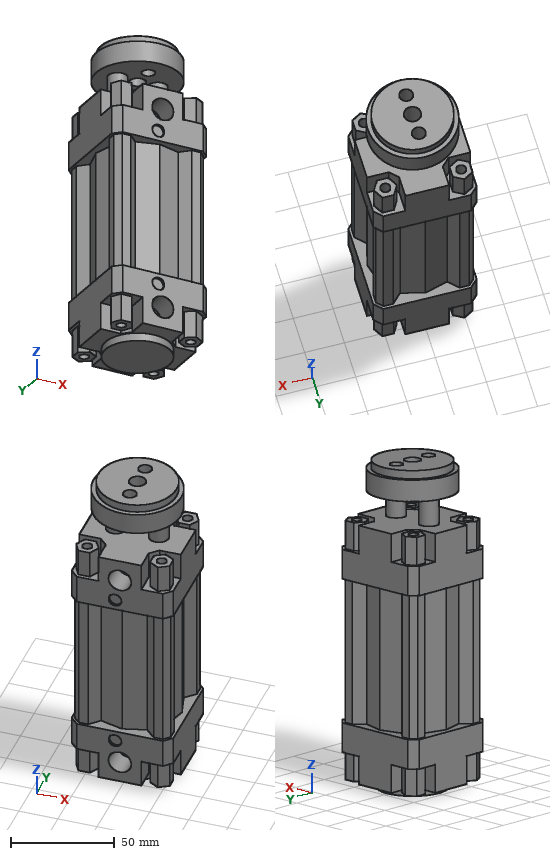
import cadquery as cq
import math

total_height = 164.0
spigot_height = 4.1
cap_height = 28.9
housing_top = 134.0
plate_bottom = 149.0
plate_step = 159.9

cap_width = 52.0
cap_chamfer = 4.0
pocket_depth = 14.1
cross_half_width = 11.0
pocket_chamfer = 4.1
spigot_diameter = 35.0

port_diameter = 11.6
port_depth = 13.1
port_inset = 11.3
dimple_diameter = 6.5
dimple_depth = 1.3
dimple_inset = 23.5
dimple_offset = -2.5

nut_flats = 10.0
nut_spacing = 38.0
nut_hole_diameter = 5.0
nut_hole_depth = 8.2
drill_point_angle = 118.0

barrel_width = 49.0
barrel_chamfer = 3.0
groove_outer = 16.7
groove_inner = 11.8
ridge_reach = 22.8

plate_diameter = 45.0
plate_face_diameter = 40.0
plate_bore_diameter = 8.4
plate_pin_hole_diameter = 6.7
plate_pin_hole_spacing = 22.3
rod_diameter = 10.0
rod_spacing = 22.0

housing_middle = (spigot_height + housing_top) / 2
nut_offset = nut_spacing / 2
nut_corners = nut_flats / math.cos(math.radians(30))
drill_point_height = nut_hole_diameter / 2 / math.tan(math.radians(drill_point_angle / 2))


def barrel_outline():
    """Points of the barrel section: one side, turned to all four."""
    half = barrel_width / 2
    flat_end = half - barrel_chamfer
    groove_floor = half - (groove_outer - groove_inner)
    side = [
        (-flat_end, -half),
        (-groove_outer, -half),
        (-groove_inner, -groove_floor),
        (0, -ridge_reach),
        (groove_inner, -groove_floor),
        (groove_outer, -half),
        (flat_end, -half),
    ]
    points = []
    for _ in range(4):
        points += side
        side = [(-y, x) for x, y in side]
    return points


def make_barrel():
    """Grooved extrusion between the two caps."""
    length = housing_top - spigot_height - 2 * cap_height
    start = spigot_height + cap_height
    return cq.Workplane("XY").workplane(offset=start).polyline(barrel_outline()).close().extrude(length)


def make_nut():
    """Hexagonal nut with a drilled blind hole, its corners along X and its top at the housing top."""
    nut = (
        cq.Workplane("XY").workplane(offset=housing_top - pocket_depth)
        .polygon(6, nut_corners).extrude(pocket_depth)
    )
    radius = nut_hole_diameter / 2
    drill = (
        cq.Workplane("XZ")
        .moveTo(0, housing_top)
        .lineTo(radius, housing_top)
        .lineTo(radius, housing_top - nut_hole_depth)
        .lineTo(0, housing_top - nut_hole_depth - drill_point_height)
        .close()
        .revolve(360, (0, 0, 0), (0, 1, 0))
    )
    return nut.cut(drill)


def make_pocket():
    """Cutter for the +X +Y corner pocket, with a bevelled inner corner."""
    size = cap_width / 2 - cross_half_width
    return (
        cq.Workplane("XY").workplane(offset=housing_top - pocket_depth)
        .center(cross_half_width, cross_half_width)
        .rect(size, size, centered=False).extrude(pocket_depth)
        .edges("|Z and <X and <Y").chamfer(pocket_chamfer)
    )


def front_hole(diameter, depth, x, z):
    """Cutter for a blind round hole in the -Y face."""
    return (
        cq.Workplane("XZ", origin=(x, -cap_width / 2, z))
        .circle(diameter / 2).extrude(-depth)
    )


def make_upper_cap():
    """Bevelled square cap with front holes, corner pockets and a nut standing in each pocket."""
    cap = (
        cq.Workplane("XY").workplane(offset=housing_top - cap_height)
        .rect(cap_width, cap_width).extrude(cap_height)
        .edges("|Z").chamfer(cap_chamfer)
    )
    cap = cap.cut(front_hole(port_diameter, port_depth, 0, housing_top - port_inset))
    cap = cap.cut(front_hole(dimple_diameter, dimple_depth, dimple_offset, housing_top - dimple_inset))
    pocket = make_pocket()
    nut = make_nut().translate((nut_offset, nut_offset, 0))
    for quarter in range(4):
        turn = 90 * quarter
        cap = cap.cut(pocket.rotate((0, 0, 0), (0, 0, 1), turn))
        cap = cap.union(nut.rotate((0, 0, 0), (0, 0, 1), turn))
    return cap


def make_housing():
    """Barrel closed by two mirror-image caps, with a round spigot underneath."""
    upper_cap = make_upper_cap()
    lower_cap = upper_cap.mirror("XY", (0, 0, housing_middle))
    spigot = cq.Workplane("XY").circle(spigot_diameter / 2).extrude(spigot_height)
    return make_barrel().union(upper_cap).union(lower_cap).union(spigot)


def make_piston():
    """Stepped round plate carried by two rods that stand on the housing top."""
    plate = (
        cq.Workplane("XY").workplane(offset=plate_bottom)
        .circle(plate_diameter / 2).extrude(plate_step - plate_bottom)
        .faces(">Z").workplane()
        .circle(plate_face_diameter / 2).extrude(total_height - plate_step)
    )
    plate = plate.faces(">Z").workplane().hole(plate_bore_diameter)
    plate = (
        plate.faces(">Z").workplane()
        .rarray(1.6, plate_pin_hole_spacing, 1, 2).hole(plate_pin_hole_diameter)
    )
    rods = (
        cq.Workplane("XY").workplane(offset=housing_top)
        .rarray(rod_spacing, 1.6, 2, 1)
        .circle(rod_diameter / 2).extrude(plate_bottom - housing_top)
    )
    return plate.union(rods)


housing = make_housing()
piston = make_piston()

result = cq.Compound.makeCompound([housing.val(), piston.val()])